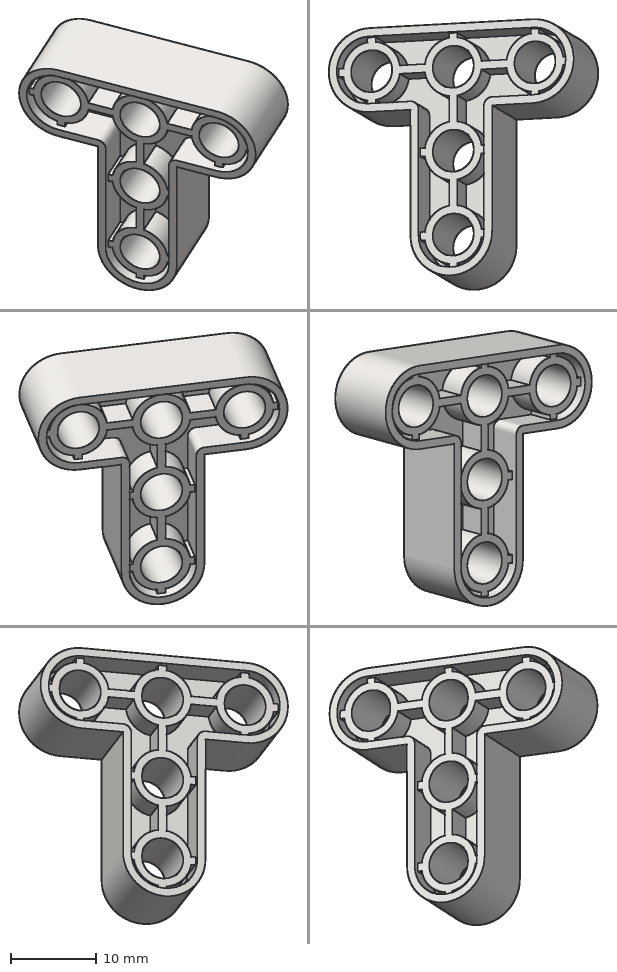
import cadquery as cq

span = 30.0
pitch = span / 3
beam_width = pitch
depth = pitch
wall = 1.0
hole_diameter = 5.0
tube_diameter = 7.0
rib_width = 1.0
web_thickness = 1.0
tube_recess = 0.8

half_width = beam_width / 2
bar_z = (span - beam_width) / 2
stem_end_z = bar_z - 2 * pitch
core_depth = depth - 2 * tube_recess

bar_holes = [(-pitch, bar_z), (0, bar_z), (pitch, bar_z)]
stem_holes = [(0, bar_z - pitch), (0, stem_end_z)]
hole_centers = bar_holes + stem_holes


def mid_plane():
    """Sketch plane along XZ, halfway through the thickness."""
    return cq.Workplane("XZ")


def t_outline():
    """T-shaped outline with a semicircle on each of its three ends."""
    bar_top = bar_z + half_width
    bar_bottom = bar_z - half_width
    return (
        mid_plane()
        .moveTo(-pitch, bar_top)
        .lineTo(pitch, bar_top)
        .threePointArc((pitch + half_width, bar_z), (pitch, bar_bottom))
        .lineTo(half_width, bar_bottom)
        .lineTo(half_width, stem_end_z)
        .threePointArc((0, stem_end_z - half_width), (-half_width, stem_end_z))
        .lineTo(-half_width, bar_bottom)
        .lineTo(-pitch, bar_bottom)
        .threePointArc((-pitch - half_width, bar_z), (-pitch, bar_top))
        .close()
    )


def slab(sketch, thickness):
    """Extrude a sketch evenly to both sides of the middle plane."""
    return sketch.extrude(thickness / 2, both=True)


def cylinders(diameter, length):
    """One cylinder along Y at every hole position."""
    return slab(mid_plane().pushPoints(hole_centers).circle(diameter / 2), length)


def rib(x, z, length_x, length_z):
    """Straight rib centred at (x, z), as deep as the tubes."""
    return slab(mid_plane().center(x, z).rect(length_x, length_z), core_depth)


body = slab(t_outline(), depth)
cavity = slab(t_outline().offset2D(-wall), depth)

core = slab(t_outline(), web_thickness).union(cylinders(tube_diameter, core_depth))

core = core.union(rib(0, bar_z, span - wall, rib_width))
core = core.union(rib(0, 0, rib_width, span - wall))

cross_length = beam_width - wall
for x in (-pitch, pitch):
    core = core.union(rib(x, bar_z, rib_width, cross_length))
for x, z in stem_holes:
    core = core.union(rib(x, z, cross_length, rib_width))

result = body.cut(cavity).union(core).cut(cylinders(hole_diameter, depth))